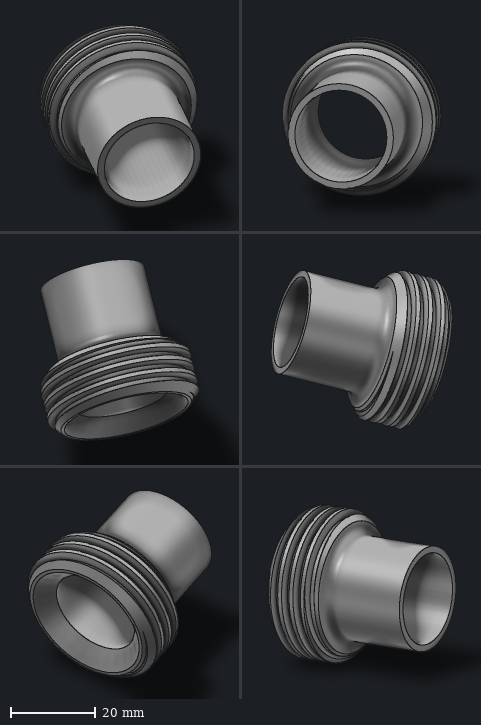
import cadquery as cq
import math

total_length = 34.9
head_length = 14.3

crest_radius = 18.45
root_radius = 16.6
end_face_radius = 15.95
chamfer_size = crest_radius - end_face_radius

pitch = 3.17
crest_width = 1.07
flank_angle = 15.0
flank_slope = math.tan(math.radians(flank_angle))
groove_at_top = 2.65
cutter_clearance = 0.2
lead_in_turns = 2
thread_turns = lead_in_turns + math.ceil(head_length / pitch) + 1

tube_radius = 12.7
blend_radius = 2.55

bore_radius = 22.1 / 2
mouth_radius = 15.05
mouth_depth = mouth_radius - bore_radius


def make_head_blank():
    """Crest cylinder with a chamfer at both ends, before the thread is cut."""
    cylinder = cq.Workplane("YZ").circle(crest_radius).extrude(head_length)
    return cylinder.faces("<X or >X").chamfer(chamfer_size)


def make_thread_groove():
    """Helical cutter about the X axis for the thread groove, longer than the head at both ends."""
    outer_radius = crest_radius + cutter_clearance
    root_half = (pitch - crest_width) / 2 - (crest_radius - root_radius) * flank_slope
    outer_half = root_half + (outer_radius - root_radius) * flank_slope
    helix = cq.Wire.makeHelix(pitch, pitch * thread_turns, root_radius)
    profile = (
        cq.Workplane("XZ")
        .polyline([
            (root_radius, -root_half),
            (outer_radius, -outer_half),
            (outer_radius, outer_half),
            (root_radius, root_half),
        ])
        .close()
    )
    groove = profile.sweep(cq.Workplane(obj=helix), isFrenet=True)
    groove = groove.rotate((0, 0, 0), (0, 1, 0), 90)
    start_x = groove_at_top - pitch * (lead_in_turns - 0.5)
    return groove.translate((start_x, 0, 0))


def make_tube():
    """Plain tube body with a concave blend against the head."""
    profile = (
        cq.Workplane("XY")
        .moveTo(0, 0)
        .lineTo(0, tube_radius)
        .lineTo(head_length, tube_radius)
        .lineTo(head_length, tube_radius + blend_radius)
        .radiusArc((head_length + blend_radius, tube_radius), -blend_radius)
        .lineTo(total_length, tube_radius)
        .lineTo(total_length, 0)
        .close()
    )
    return profile.revolve(360, (0, 0, 0), (1, 0, 0))


def make_bore():
    """Through bore that opens into a cone at the head face."""
    profile = (
        cq.Workplane("XY")
        .polyline([
            (0, 0),
            (0, mouth_radius),
            (mouth_depth, bore_radius),
            (total_length, bore_radius),
            (total_length, 0),
        ])
        .close()
    )
    return profile.revolve(360, (0, 0, 0), (1, 0, 0))


def make_head():
    """Chamfered head with the thread, cut from a threaded rod that outreaches the groove at both ends."""
    groove_length = pitch * thread_turns
    rod = (
        cq.Workplane("YZ", origin=(-groove_length / 2, 0, 0))
        .circle(crest_radius)
        .extrude(2 * groove_length)
    )
    threaded_rod = rod.cut(make_thread_groove())
    return threaded_rod.intersect(make_head_blank())


result = make_head().union(make_tube()).cut(make_bore())